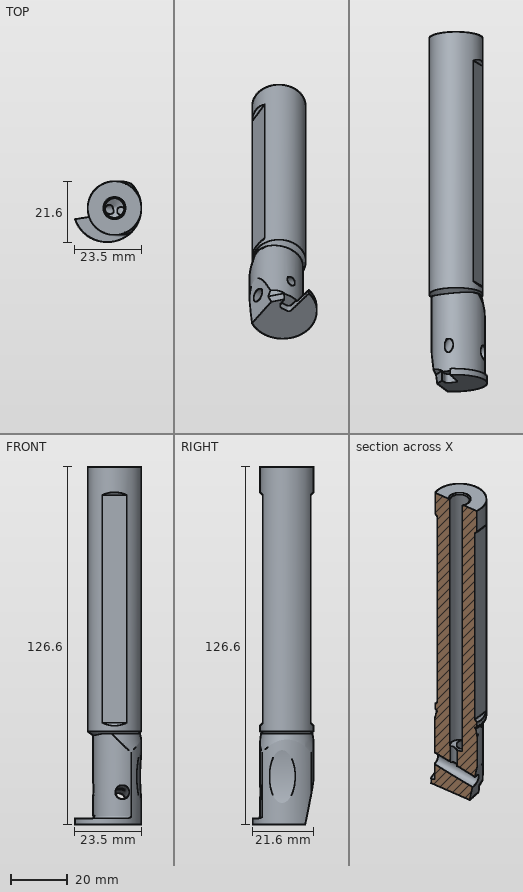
import cadquery as cq
import math

TOTAL_LENGTH = 126.55
SHANK_RADIUS = 9.525
SHANK_BOTTOM_Z = 33.0
SHANK_TAPER_HEIGHT = 1.5
SHANK_TAPER_END_RADIUS = 7.6

FLAT_DISTANCE = 8.5
FLAT_TOP_Z = TOTAL_LENGTH - 10.0
FLAT_BOTTOM_Z = 36.0
FLAT_RUNOUT = 2.0

NECK_CENTER_X = 1.9
NECK_RADIUS = 9.5
CUTTER_CENTER_X = -2.56
CUTTER_RADIUS = SHANK_RADIUS - CUTTER_CENTER_X
FLANGE_HEIGHT = 2.2
FLANGE_FILLET = 0.8
FLANGE_REACH = 20.0
HEAD_TOP_Z = SHANK_BOTTOM_Z

BLEND_TOP_RADIUS = 9.1
BLEND_TOP_Z = 32.2
BLEND_BASE_RADIUS = 10.42
BLEND_BASE_Z = 25.6
BLEND_SKIRT_RADIUS = 15.0

FACE_TIP_X = -14.0
FACE_TIP_Y = -3.9
FACE_ANGLE = 9.0
NOTCH_INNER_X = -3.5
NOTCH_REAR_Y = 2.2
NOTCH_HEIGHT = 3.2
NOTCH_CORNER_RADIUS = 1.2
REAR_RELIEF_HEIGHT = 5.2
REAR_RELIEF_SLOPE = 1.6
REAR_RELIEF_INNER_X = -3.5
REAR_RELIEF_INNER_Y = 6.0
REAR_RELIEF_OUTER_X = -7.3
REAR_RELIEF_OVERRUN = 2.0
BACK_RELIEF_Y = 5.9
BACK_RELIEF_TILT = 12.0
BACK_RELIEF_TURN = 5.0

HOLLOW_CENTER_Z = 17.0
HOLLOW_LENGTH = 17.5
HOLLOW_DEPTH = 0.8
HOLLOW_TURN = 8.0

BORE_RADIUS = 3.45
BORE_MOUTH_RADIUS = 3.95
BORE_FLOOR_Z = 20.0
DRILL_POINT_ANGLE = 118.0
CROSS_HOLE_DIAMETER = 4.9
CROSS_HOLE_MOUTH = (2.8, -9.3, 11.5)
CROSS_HOLE_DIRECTION = (-1.4, 17.0, -2.8)
SIDE_HOLE_DIAMETER = 3.25
SIDE_HOLE_MOUTH = (-7.6, -0.5, 12.5)
SIDE_HOLE_RISE_ANGLE = 49.0
LINK_HOLE_DIAMETER = 2.8
LINK_HOLE_X = 2.3
LINK_HOLE_Y = -1.0
DRILL_LEAD_IN = 3.0

CLEARANCE = 20.0


def make_shank():
    taper_end_z = SHANK_BOTTOM_Z - SHANK_TAPER_HEIGHT
    shank = (
        cq.Workplane("XZ")
        .moveTo(0, taper_end_z)
        .lineTo(SHANK_TAPER_END_RADIUS, taper_end_z)
        .lineTo(SHANK_RADIUS, SHANK_BOTTOM_Z)
        .lineTo(SHANK_RADIUS, TOTAL_LENGTH)
        .lineTo(0, TOTAL_LENGTH)
        .close()
        .revolve(360, (0, 0, 0), (0, 1, 0))
    )
    for side in (-1, 1):
        shank = shank.cut(flat_cutter(side))
    return shank


def flat_cutter(side):
    """Trapezoid bar whose ends open outward at 45 degrees."""
    return (
        cq.Workplane("YZ")
        .moveTo(side * FLAT_DISTANCE, FLAT_BOTTOM_Z)
        .lineTo(side * FLAT_DISTANCE, FLAT_TOP_Z)
        .lineTo(side * (FLAT_DISTANCE + FLAT_RUNOUT), FLAT_TOP_Z + FLAT_RUNOUT)
        .lineTo(side * (FLAT_DISTANCE + FLAT_RUNOUT), FLAT_BOTTOM_Z - FLAT_RUNOUT)
        .close()
        .extrude(SHANK_RADIUS, both=True)
    )


def make_head():
    """Filleted neck with flange, limited by the cutter cylinder and the blend cone."""
    fillet_mid = FLANGE_FILLET * (1 - math.sqrt(0.5))
    neck = (
        cq.Workplane("XZ")
        .lineTo(FLANGE_REACH, 0)
        .lineTo(FLANGE_REACH, FLANGE_HEIGHT)
        .lineTo(NECK_RADIUS + FLANGE_FILLET, FLANGE_HEIGHT)
        .threePointArc(
            (NECK_RADIUS + fillet_mid, FLANGE_HEIGHT + fillet_mid),
            (NECK_RADIUS, FLANGE_HEIGHT + FLANGE_FILLET),
        )
        .lineTo(NECK_RADIUS, HEAD_TOP_Z)
        .lineTo(0, HEAD_TOP_Z)
        .close()
        .revolve(360, (0, 0, 0), (0, 1, 0))
        .translate((NECK_CENTER_X, 0, 0))
    )
    cutter = cq.Workplane("XY").center(CUTTER_CENTER_X, 0).circle(CUTTER_RADIUS).extrude(HEAD_TOP_Z)

    cone_run = (BLEND_BASE_Z - BLEND_TOP_Z) / (BLEND_BASE_RADIUS - BLEND_TOP_RADIUS)
    skirt_z = BLEND_TOP_Z + cone_run * (BLEND_SKIRT_RADIUS - BLEND_TOP_RADIUS)
    blend = (
        cq.Workplane("XZ")
        .lineTo(BLEND_SKIRT_RADIUS, 0)
        .lineTo(BLEND_SKIRT_RADIUS, skirt_z)
        .lineTo(BLEND_TOP_RADIUS, BLEND_TOP_Z)
        .lineTo(0, BLEND_TOP_Z)
        .close()
        .revolve(360, (0, 0, 0), (0, 1, 0))
    )
    return neck.intersect(cutter).intersect(blend)


def face_y(x):
    """Y of the sloping cutting face at a given X."""
    return FACE_TIP_Y + (x - FACE_TIP_X) * math.tan(math.radians(FACE_ANGLE))


def flange_trim():
    """Removes the flange and its fillet behind the cutting face, leaving the neck."""
    trim_height = FLANGE_HEIGHT + FLANGE_FILLET
    outer = (
        cq.Workplane("XY")
        .moveTo(-CLEARANCE, face_y(-CLEARANCE))
        .lineTo(0, face_y(0))
        .lineTo(CLEARANCE, face_y(0))
        .lineTo(CLEARANCE, CLEARANCE)
        .lineTo(-CLEARANCE, CLEARANCE)
        .close()
        .extrude(trim_height)
    )
    neck = cq.Workplane("XY").center(NECK_CENTER_X, 0).circle(NECK_RADIUS).extrude(trim_height)
    return outer.cut(neck)


def chip_notch():
    """Pocket in front of the cutting face, open to -X and to the bottom."""
    return (
        cq.Workplane("XY")
        .moveTo(-CLEARANCE, face_y(-CLEARANCE))
        .lineTo(NOTCH_INNER_X, face_y(NOTCH_INNER_X))
        .lineTo(NOTCH_INNER_X, NOTCH_REAR_Y)
        .lineTo(-CLEARANCE, NOTCH_REAR_Y)
        .close()
        .extrude(NOTCH_HEIGHT)
        .edges("|Z and >X")
        .fillet(NOTCH_CORNER_RADIUS)
    )


def rear_relief():
    """Wedge off the neck behind the notch, its ceiling sloping up to the outside."""
    run_x = REAR_RELIEF_INNER_X - REAR_RELIEF_OUTER_X
    run_y = REAR_RELIEF_INNER_Y - NOTCH_REAR_Y
    length = math.hypot(run_x, run_y)
    wall = cq.Plane(
        origin=(REAR_RELIEF_OUTER_X, NOTCH_REAR_Y, 0),
        xDir=(-run_y, run_x, 0),
        normal=(run_x, run_y, 0),
    )
    ceiling_z = REAR_RELIEF_HEIGHT - REAR_RELIEF_SLOPE
    return (
        cq.Workplane(wall)
        .lineTo(0, ceiling_z)
        .lineTo(REAR_RELIEF_SLOPE, REAR_RELIEF_HEIGHT)
        .lineTo(CLEARANCE, REAR_RELIEF_HEIGHT)
        .lineTo(CLEARANCE, 0)
        .close()
        .extrude(length + REAR_RELIEF_OVERRUN)
    )


def back_relief():
    """Half space behind a plane that leans back and turns slightly toward -X."""
    size = 3 * CLEARANCE
    return (
        cq.Workplane("XY")
        .box(size, CLEARANCE, size, centered=(True, False, True))
        .rotate((0, 0, 0), (1, 0, 0), -BACK_RELIEF_TILT)
        .rotate((0, 0, 0), (0, 0, 1), BACK_RELIEF_TURN)
        .translate((0, BACK_RELIEF_Y, 0))
        .intersect(cq.Workplane("XY").box(size, size, HEAD_TOP_Z, centered=(True, True, False)))
    )


def side_hollow():
    """Large wheel, its axis turned slightly from Y, that grinds a shallow hollow."""
    radius = ((HOLLOW_LENGTH / 2) ** 2 + HOLLOW_DEPTH ** 2) / (2 * HOLLOW_DEPTH)
    return (
        cq.Workplane("XZ")
        .center(radius, HOLLOW_CENTER_Z)
        .circle(radius)
        .extrude(CUTTER_RADIUS, both=True)
        .rotate((0, 0, 0), (0, 0, 1), -HOLLOW_TURN)
        .translate((SHANK_RADIUS - HOLLOW_DEPTH, 0, 0))
    )


def bore():
    """Blind bore from the top with a chamfered mouth and a drill point."""
    point_depth = BORE_RADIUS / math.tan(math.radians(DRILL_POINT_ANGLE / 2))
    chamfer = BORE_MOUTH_RADIUS - BORE_RADIUS
    return (
        cq.Workplane("XZ")
        .moveTo(0, BORE_FLOOR_Z - point_depth)
        .lineTo(BORE_RADIUS, BORE_FLOOR_Z)
        .lineTo(BORE_RADIUS, TOTAL_LENGTH - chamfer)
        .lineTo(BORE_MOUTH_RADIUS, TOTAL_LENGTH)
        .lineTo(0, TOTAL_LENGTH)
        .close()
        .revolve(360, (0, 0, 0), (0, 1, 0))
    )


def drill(start, direction, diameter, length, lead_in):
    """Straight round hole along a direction, starting lead_in before the given point."""
    axis = cq.Vector(*direction).normalized()
    begin = cq.Vector(*start) - axis * lead_in
    return cq.Workplane(cq.Solid.makeCylinder(diameter / 2, length + lead_in, begin, axis))


def coolant_holes():
    cross = drill(CROSS_HOLE_MOUTH, CROSS_HOLE_DIRECTION, CROSS_HOLE_DIAMETER, CLEARANCE, DRILL_LEAD_IN)

    rise = math.radians(SIDE_HOLE_RISE_ANGLE)
    side_direction = (math.cos(rise), 0, math.sin(rise))
    side_length = -SIDE_HOLE_MOUTH[0] / math.cos(rise)
    side = drill(SIDE_HOLE_MOUTH, side_direction, SIDE_HOLE_DIAMETER, side_length, DRILL_LEAD_IN)

    cross_z = CROSS_HOLE_MOUTH[2]
    link_start = (LINK_HOLE_X, LINK_HOLE_Y, cross_z)
    link = drill(link_start, (0, 0, 1), LINK_HOLE_DIAMETER, BORE_FLOOR_Z - cross_z, 0)
    return [cross, side, link]


result = make_head()
for tool in (flange_trim(), chip_notch(), rear_relief(), back_relief(), side_hollow()):
    result = result.cut(tool)
result = result.union(make_shank())
for tool in [bore()] + coolant_holes():
    result = result.cut(tool)